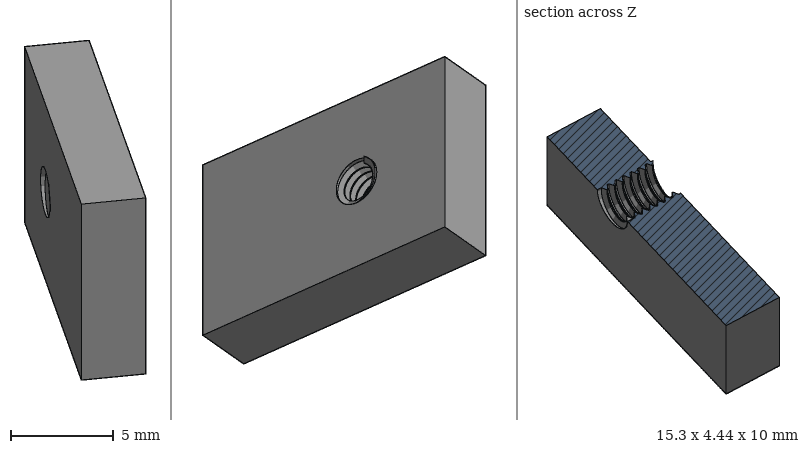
import cadquery as cq

plate_length = 15.05
plate_thickness = 3.19
plate_height = 10.0
plate_turn = -4.8

hole_radius = 1.25
hole_from_end = 5.5
hole_height = plate_height / 2

crest_radius = 0.98
thread_rise = 3.0
thread_turns = 20 / 3
thread_pitch = thread_rise / thread_turns
root_width = 0.38
crest_width = 0.06
root_embed = 0.02


def plate_with_hole():
    plate = cq.Workplane("XY").box(plate_length, plate_thickness, plate_height, centered=False)
    bore = (
        cq.Workplane("XZ", origin=(hole_from_end, 0, hole_height))
        .circle(hole_radius)
        .extrude(-plate_thickness)
    )
    axis_start = (hole_from_end, 0, hole_height)
    axis_end = (hole_from_end, plate_thickness, hole_height)
    bore = bore.rotate(axis_start, axis_end, 180)
    return plate.cut(bore)


def thread_ridge():
    """Right-handed ridge, flush with the front face where it starts and proud of the back face."""
    root_radius = hole_radius + root_embed
    path = cq.Wire.makeHelix(thread_pitch, thread_rise, root_radius)
    profile = (
        cq.Workplane("XZ")
        .moveTo(root_radius, -root_width / 2)
        .lineTo(crest_radius, -crest_width / 2)
        .lineTo(crest_radius, crest_width / 2)
        .lineTo(root_radius, root_width / 2)
        .close()
    )
    ridge = profile.sweep(cq.Workplane(obj=path), isFrenet=True)
    return (
        ridge.translate((0, 0, root_width / 2))
        .rotate((0, 0, 0), (1, 0, 0), -90)
        .translate((hole_from_end, 0, hole_height))
    )


part = plate_with_hole().union(thread_ridge())
result = part.rotate((0, 0, 0), (0, 0, 1), plate_turn)